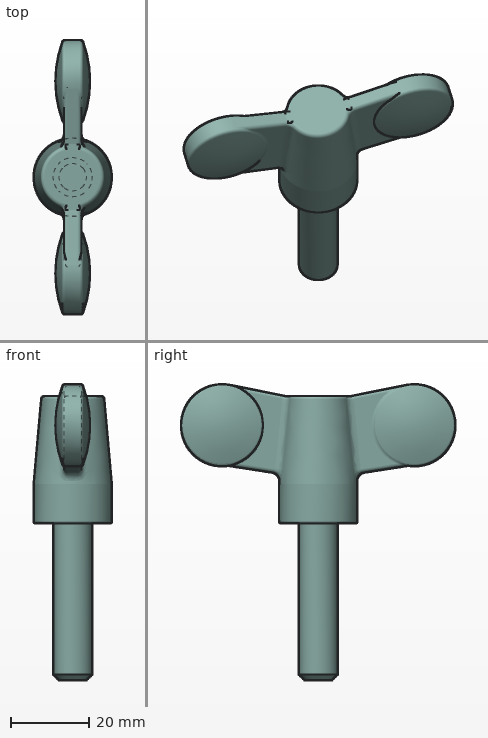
import cadquery as cq
import math

PIN_DIAMETER = 10.0
PIN_CHAMFER = 1.5
PIN_OVERLAP = 0.75
HUB_DIAMETER = 20.0
HUB_BOTTOM = 40.0
COLLAR_TOP = 50.0
HUB_TOP = 72.5
HUB_TOP_DIAMETER = 16.0
COLLAR_EDGE_RADIUS = 0.5

TOTAL_HEIGHT = 75.5
WING_SPAN = 70.0
DISC_RADIUS = 10.5
DISC_OFFSET = WING_SPAN / 2 - DISC_RADIUS
DISC_HEIGHT = TOTAL_HEIGHT - DISC_RADIUS
RIM_HALF_WIDTH = 1.7
EDGE_RADIUS = 1.0
DOME_BASE_RADIUS = 9.8
DOME_BASE_HALF_WIDTH = 2.7
DOME_HALF_WIDTH = 4.45

WEB_THICKNESS = 4.5
WEB_TOP_ANGLE = math.atan(0.2)
WEB_BOTTOM_ANGLE = math.atan(0.155)
ROOT_RADIUS = 2.05
DISC_ROOT_RADIUS = 0.75


def make_hub():
    """Cylindrical collar below a tapered upper body."""
    profile = [
        (0, HUB_BOTTOM),
        (HUB_DIAMETER / 2, HUB_BOTTOM),
        (HUB_DIAMETER / 2, COLLAR_TOP),
        (HUB_TOP_DIAMETER / 2, HUB_TOP),
        (0, HUB_TOP),
    ]
    hub = cq.Workplane("XZ").polyline(profile).close().revolve(360, (0, 0), (0, 1))
    hub = hub.faces("<Z").edges().fillet(COLLAR_EDGE_RADIUS)
    return hub.faces(">Z").edges().fillet(EDGE_RADIUS)


def make_pin():
    pin = cq.Workplane("XY").circle(PIN_DIAMETER / 2).extrude(HUB_BOTTOM + PIN_OVERLAP)
    return pin.faces("<Z").chamfer(PIN_CHAMFER)


def make_web(side):
    """Plate whose sloping edges are tangent to the disc; side is +1 or -1 along Y."""
    top_y = DISC_OFFSET - DISC_RADIUS * math.sin(WEB_TOP_ANGLE)
    top_z = DISC_HEIGHT + DISC_RADIUS * math.cos(WEB_TOP_ANGLE)
    bottom_y = DISC_OFFSET - DISC_RADIUS * math.sin(WEB_BOTTOM_ANGLE)
    bottom_z = DISC_HEIGHT - DISC_RADIUS * math.cos(WEB_BOTTOM_ANGLE)
    outline = [
        (0, top_z - top_y * math.tan(WEB_TOP_ANGLE)),
        (side * top_y, top_z),
        (side * bottom_y, bottom_z),
        (0, bottom_z - bottom_y * math.tan(WEB_BOTTOM_ANGLE)),
    ]
    web = cq.Workplane("YZ").polyline(outline).close().extrude(WEB_THICKNESS / 2, both=True)
    return web.faces("<X or >X").edges().fillet(EDGE_RADIUS)


def make_disc(side):
    """Disc with rounded rim and a shallow dome on both faces."""
    dome_sag = DOME_HALF_WIDTH - DOME_BASE_HALF_WIDTH
    dome_radius = (DOME_BASE_RADIUS**2 + dome_sag**2) / (2 * dome_sag)
    half_angle = math.asin(DOME_BASE_RADIUS / dome_radius) / 2
    mid_radius = dome_radius * math.sin(half_angle)
    mid_width = DOME_HALF_WIDTH - dome_radius * (1 - math.cos(half_angle))
    round_diagonal = math.sqrt(0.5)
    round_mid = (
        RIM_HALF_WIDTH + (DOME_BASE_HALF_WIDTH - RIM_HALF_WIDTH) * round_diagonal,
        DOME_BASE_RADIUS + (DISC_RADIUS - DOME_BASE_RADIUS) * round_diagonal,
    )
    profile = (
        cq.Workplane("XY")
        .moveTo(-DOME_HALF_WIDTH, 0)
        .threePointArc((-mid_width, mid_radius), (-DOME_BASE_HALF_WIDTH, DOME_BASE_RADIUS))
        .threePointArc((-round_mid[0], round_mid[1]), (-RIM_HALF_WIDTH, DISC_RADIUS))
        .lineTo(RIM_HALF_WIDTH, DISC_RADIUS)
        .threePointArc(round_mid, (DOME_BASE_HALF_WIDTH, DOME_BASE_RADIUS))
        .threePointArc((mid_width, mid_radius), (DOME_HALF_WIDTH, 0))
        .close()
    )
    disc = profile.revolve(360, (0, 0), (1, 0))
    return disc.translate((0, side * DISC_OFFSET, DISC_HEIGHT))


def round_web_roots(body):
    """Fillet the edges where the webs meet the tapered hub."""
    root_y = HUB_DIAMETER / 2
    root_box = cq.selectors.BoxSelector(
        (-WEB_THICKNESS, -root_y, COLLAR_TOP),
        (WEB_THICKNESS, root_y, HUB_TOP - EDGE_RADIUS),
        boundingbox=True,
    )
    return body.edges(root_box).fillet(ROOT_RADIUS)


def make_top_bridge():
    """Round-edged bar carrying the flat hub top out to the sloping web tops."""
    slope_height = DISC_RADIUS / math.cos(WEB_TOP_ANGLE) + DISC_HEIGHT - HUB_TOP
    half_length = DISC_OFFSET - slope_height / math.tan(WEB_TOP_ANGLE)
    depth = 2 * EDGE_RADIUS
    bar = cq.Workplane("XY").box(WEB_THICKNESS, 2 * half_length, depth)
    bar = bar.faces(">Z").edges("|Y").fillet(EDGE_RADIUS)
    return bar.translate((0, 0, HUB_TOP - depth / 2))


def round_disc_roots(body):
    """Blend the inner edge of each disc face into the flat web faces."""
    rims = []
    for side_x in (-1, 1):
        for side_y in (-1, 1):
            corner = (side_x * WEB_THICKNESS / 2, side_y * (DISC_OFFSET - DISC_RADIUS), DISC_HEIGHT)
            rims.append(body.edges("%CIRCLE").edges(cq.selectors.NearestToPointSelector(corner)).val())
    return body.newObject(rims).fillet(DISC_ROOT_RADIUS)


body = make_hub()
for side in (-1, 1):
    body = body.union(make_web(side))
body = round_web_roots(body)
for side in (-1, 1):
    body = body.union(make_disc(side))
body = round_disc_roots(body)

body = body.union(make_top_bridge())
result = body.union(make_pin())